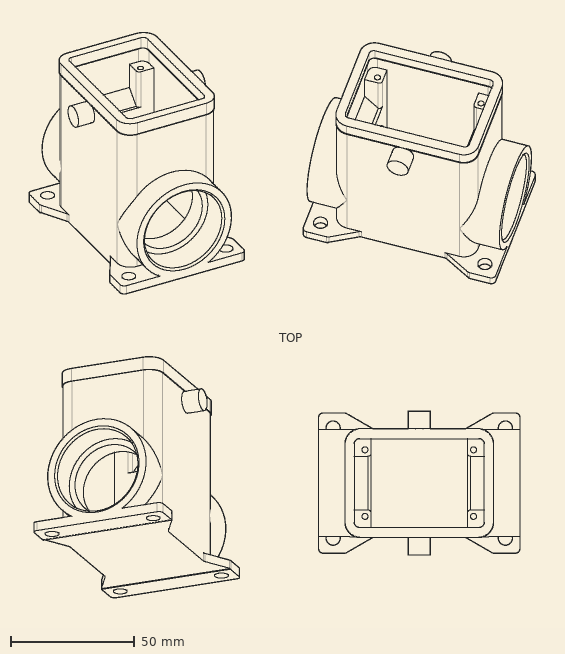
import cadquery as cq
import math

height = 73.0
body_length = 60.0
body_width = 43.6
body_bottom = 0.3
body_corner = 6.0
rim_length = 60.5
rim_width = 44.3
rim_height = 5.6
rim_corner = 6.2

mouth_length = 52.8
mouth_width = 35.9
mouth_depth = 5.1
mouth_corner = 2.0
mouth_step = 0.3
cavity_length = mouth_length + 2 * mouth_step
cavity_width = mouth_width + 2 * mouth_step
cavity_corner = 3.1
cavity_top = height - mouth_depth
floor_top = 4.0

entry_length = 82.0
entry_axis_height = 22.6
entry_diameter = body_width
socket_diameter = 35.6
socket_depth = 12.95
socket_chamfer = 0.9
bore_diameter = 30.5

post_length = 7.2
post_width = 7.4
post_top = height - 11.4
post_corner = 1.4
ramp_run = post_length - post_corner
ledge_height = 44.6
ramp_top = ledge_height + ramp_run
screw_x = 22.05
screw_y = 13.5
screw_diameter = 2.5
screw_depth = 11.5
drill_tip_angle = 118.0

pin_diameter = 9.0
pin_span = 58.5
pin_height = 63.1

foot_width = 57.1
foot_thickness = 3.9
foot_flat = 11.1
foot_angle = 30.0
foot_corner = 2.0
foot_slant_fillet = 2.0
foot_hole_x = 35.0
foot_hole_y = 22.4
foot_hole_diameter = 5.65


def rounded_block(length, width, bottom, top, corner):
    """Upright block centred on the Z axis with rounded vertical edges."""
    block = cq.Workplane("XY").workplane(offset=bottom).rect(length, width).extrude(top - bottom)
    return block.edges("|Z").fillet(corner)


def rod_along_x(diameter, start, end):
    """Cylinder on the cable entry axis between two X positions."""
    plane = cq.Workplane("YZ", origin=(start, 0, entry_axis_height))
    return plane.circle(diameter / 2).extrude(end - start)


def fillet_upright_edge(shape, point, radius):
    """Round the vertical edge nearest to a point."""
    nearest = cq.selectors.NearestToPointSelector(point)
    return shape.edges("|Z").edges(nearest).fillet(radius)


def both_ends(shape):
    """Shape together with its mirror image across the YZ plane."""
    return shape.union(shape.mirror("YZ"))


def make_shell():
    body = rounded_block(body_length, body_width, body_bottom, height, body_corner)
    rim = rounded_block(rim_length, rim_width, height - rim_height, height, rim_corner)
    return body.union(rim)


def make_foot():
    """Foot plate at the +X end, with only its outer part reaching down to Z = 0."""
    end_x = entry_length / 2
    flat_x = end_x - foot_flat
    half_width = foot_width / 2
    half_body = body_width / 2
    root_x = flat_x - (half_width - half_body) / math.tan(math.radians(foot_angle))
    inner_x = root_x - 2 * foot_slant_fillet
    half_outline = [(end_x, half_width), (flat_x, half_width), (root_x, half_body), (inner_x, half_body)]
    outline = half_outline + [(x, -y) for x, y in reversed(half_outline)]
    foot = cq.Workplane("XY").polyline(outline).close().extrude(foot_thickness)
    foot = foot.edges("|Z and >X").fillet(foot_corner)
    for x, y in ((flat_x, half_width), (root_x, half_body)):
        for side in (-1, 1):
            foot = fillet_upright_edge(foot, (x, side * y, foot_thickness / 2), foot_slant_fillet)

    relief = cq.Workplane("XY").box(2 * flat_x, foot_width, body_bottom, centered=(True, True, False))
    holes = (
        cq.Workplane("XY")
        .pushPoints([(foot_hole_x, foot_hole_y), (foot_hole_x, -foot_hole_y)])
        .circle(foot_hole_diameter / 2)
        .extrude(foot_thickness)
    )
    return foot.cut(relief).cut(holes)


def make_cavity():
    mouth = rounded_block(mouth_length, mouth_width, cavity_top, height, mouth_corner)
    chamber = rounded_block(cavity_length, cavity_width, floor_top, cavity_top, cavity_corner)
    return mouth.union(chamber)


def make_pins():
    """One rod through the body; the cavity later parts it into two pins."""
    plane = cq.Workplane("XZ", origin=(0, pin_span / 2, pin_height))
    return plane.circle(pin_diameter / 2).extrude(pin_span)


def make_post_block():
    """Block on the +X cavity wall: two posts above a ledge, joined by a ramp against the wall."""
    wall_x = cavity_length / 2
    post_x = wall_x - post_length
    block = (
        cq.Workplane("XY", origin=(wall_x, 0, floor_top))
        .rect(2 * post_length, cavity_width)
        .extrude(post_top - floor_top)
    )
    gap_width = cavity_width - 2 * post_width
    gap = (
        cq.Workplane("XZ", origin=(0, gap_width / 2, 0))
        .moveTo(post_x, ledge_height)
        .lineTo(post_x + post_corner, ledge_height)
        .lineTo(wall_x, ramp_top)
        .lineTo(wall_x + post_length, ramp_top)
        .lineTo(wall_x + post_length, post_top)
        .lineTo(post_x, post_top)
        .close()
        .extrude(gap_width)
    )
    block = block.cut(gap)
    for side in (-1, 1):
        middle = (post_x, side * gap_width / 2, (ledge_height + post_top) / 2)
        block = fillet_upright_edge(block, middle, post_corner)
    return block


def make_screw_hole(side):
    """Blind drilled hole with a conical tip, in one of the +X posts."""
    radius = screw_diameter / 2
    tip = radius / math.tan(math.radians(drill_tip_angle / 2))
    profile = [(0, 0), (radius, 0), (radius, -screw_depth), (0, -screw_depth - tip)]
    hole = cq.Workplane("XZ").polyline(profile).close().revolve(360, (0, 0, 0), (0, 1, 0))
    return hole.translate((screw_x, side * screw_y, post_top))


def make_socket():
    """Recess in the +X cable entry with a chamfered mouth."""
    end_x = entry_length / 2
    chamfer = (
        cq.Workplane("YZ", origin=(end_x, 0, entry_axis_height))
        .circle(socket_diameter / 2 + socket_chamfer)
        .workplane(offset=-socket_chamfer)
        .circle(socket_diameter / 2)
        .loft()
    )
    return rod_along_x(socket_diameter, end_x - socket_depth, end_x).union(chamfer)


cavity = make_cavity()

entry = rod_along_x(entry_diameter, body_length / 2 - body_corner, entry_length / 2)

posts = make_post_block().intersect(cavity)
for post_side in (-1, 1):
    posts = posts.cut(make_screw_hole(post_side))

result = make_shell().union(both_ends(entry)).union(both_ends(make_foot())).union(make_pins())
result = result.cut(cavity).union(both_ends(posts))
result = result.cut(rod_along_x(bore_diameter, -entry_length / 2, entry_length / 2))
result = result.cut(both_ends(make_socket()))